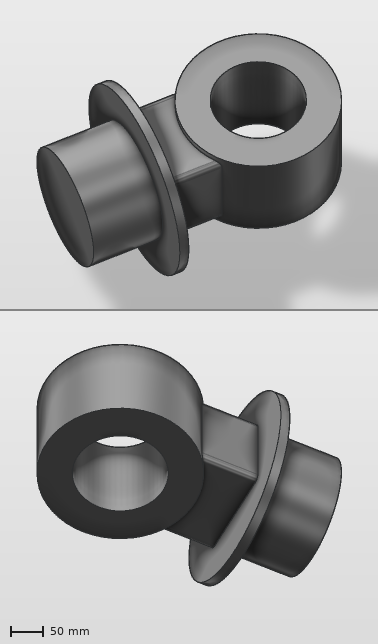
import cadquery as cq

total_length = 466.0

ring_diameter = 260.0
bore_diameter = 150.0
ring_height = 160.0

flange_diameter = 320.0
flange_thickness = 16.0
spigot_diameter = 200.0
spigot_length = 120.0

neck_width = ring_height
neck_height = 140.0
neck_edge_radius = 10.0

spigot_face_y = ring_diameter / 2 - total_length
flange_front_y = spigot_face_y + spigot_length
flange_back_y = flange_front_y + flange_thickness


def disc_along_y(diameter, start_y, length):
    """Solid cylinder running from start_y towards +Y."""
    return (
        cq.Workplane("XZ", origin=(0, start_y, 0))
        .circle(diameter / 2)
        .extrude(-length)
    )


ring = cq.Workplane("XY").circle(ring_diameter / 2).extrude(ring_height / 2, both=True)
bore = cq.Workplane("XY").circle(bore_diameter / 2).extrude(ring_height / 2, both=True)

neck = (
    cq.Workplane("XZ", origin=(0, flange_back_y, 0))
    .rect(neck_width, neck_height)
    .extrude(flange_back_y)
    .edges("|Y")
    .fillet(neck_edge_radius)
)

flange = disc_along_y(flange_diameter, flange_front_y, flange_thickness)
spigot = disc_along_y(spigot_diameter, spigot_face_y, spigot_length)

result = ring.union(neck).cut(bore).union(flange).union(spigot)